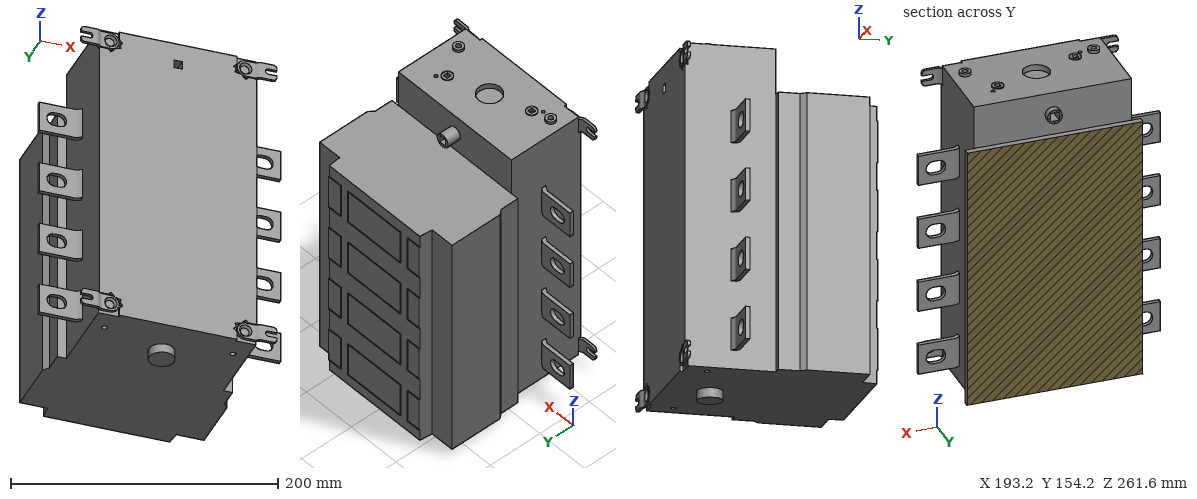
import math

import cadquery as cq

body_width = 126.0
body_height = 251.7
body_front_y = 2.1
body_rear_y = 72.3
body_mid_z = body_height / 2

module_height = 216.2
module_base_half_width = 70.2
module_half_width = 73.8
module_flare_start_y = 89.2
module_flare_end_y = 93.7
module_shoulder_y = 142.1
ridge_base_half_width = 51.6
ridge_top_half_width = 50.5
ridge_rear_y = 153.5
rear_limit_y = 154.17

pole_count = 4
pole_pitch = 53.9
first_pole_z = 27.0
pad_height = 32.3
pad_center_half_width = 29.3
pad_side_inner_x = 37.1

terminal_reach = 193.25 / 2
terminal_width = 25.0
terminal_thickness = 3.5
terminal_front_y = 40.3
terminal_bend_x = 67.3
terminal_root_x = 62.0
terminal_drop = 3.3
terminal_bend_radius = 3.0
terminal_slot_length = 15.5
terminal_slot_width = 11.4
terminal_slot_inset = 13.9

foot_reach = 78.4
foot_width = 13.4
foot_thickness = 2.3
foot_outer_bend_x = 65.0
foot_inner_bend_x = 61.4
foot_bend_radius = 1.4
foot_screw_x = 54.0
foot_screw_z = 242.4
foot_slot_width = 4.6
foot_slot_depth = 9.2
foot_tip_radius = 3.0
foot_end_flat = 0.1
countersink_radius = 4.9
countersink_floor_radius = 3.5

recess_inner_x = 47.1
recess_clearance = 0.8
recess_radius = 6.6
recess_tip_radius = 9.5
recess_tip_angles = (0, -30, -90)
recess_tip_half_width = 2.8

shaft_y = 37.3
socket_radius = 10.6
socket_depth = 4.8
stub_radius = 10.0
stub_length = 7.4
spindle_radius = 6.1
spindle_length = 12.4
spindle_z = 233.6
square_hole_size = 6.5

bushing_x = 51.4
bushing_y = 22.1
bushing_radius = 4.5
bushing_height = 2.5
bushing_bore_radius = 2.2
screw_offset = (35.0, 10.9)
screw_radius = 4.7
screw_height = 0.8
screw_square_size = 4.0
screw_square_depth = 3.0
pin_hole_offset = (41.0, 17.0)
pin_hole_radius = 1.4
pin_hole_depth = 3.0


def box(x_min, x_max, y_min, y_max, z_min, z_max):
    """Axis-aligned box between two opposite corners."""
    size = (x_max - x_min, y_max - y_min, z_max - z_min)
    return cq.Workplane("XY").box(*size, centered=False).translate((x_min, y_min, z_min))


def cylinder_z(x, y, z, radius, height):
    """Cylinder standing on height z."""
    return cq.Workplane("XY").center(x, y).circle(radius).extrude(height).translate((0, 0, z))


def both_sides(shape):
    """The shape together with its mirror image across x = 0."""
    return shape.union(shape.mirror("YZ"))


def all_corners(shape):
    """The shape repeated at the four corners of the front face."""
    lower = shape.mirror("XY", (0, 0, body_mid_z))
    return both_sides(shape).union(both_sides(lower))


def bent_strap(outer_x, bend_x, inner_bend_x, end_x, front_y, rise, thickness, width, radius):
    """Strap on the +X side, centred on z = 0, that shifts by rise in Y between its bends.

    The radius is that of the inside of each bend.
    """
    slope_angle = math.atan2(rise, bend_x - inner_bend_x)
    miter = thickness * math.tan(slope_angle / 2)
    back_y = front_y + thickness
    front_bends = [(bend_x, front_y), (inner_bend_x, front_y + rise)]
    back_bends = [(inner_bend_x + miter, back_y + rise), (bend_x + miter, back_y)]
    outline = [(outer_x, front_y), *front_bends, (end_x, front_y + rise)]
    outline += [(end_x, back_y + rise), *back_bends, (outer_x, back_y)]
    strap = cq.Workplane("XY").polyline(outline).close().extrude(width / 2, both=True)
    inside_bends = [front_bends[1], back_bends[1]]
    outside_bends = [front_bends[0], back_bends[0]]
    if rise < 0:
        inside_bends, outside_bends = outside_bends, inside_bends
    for bends, bend_radius in ((inside_bends, radius), (outside_bends, radius + thickness)):
        for x, y in bends:
            corner = cq.selectors.NearestToPointSelector((x, y, 0))
            strap = strap.edges("|Z").edges(corner).fillet(bend_radius)
    return strap


def pole_heights():
    return [first_pole_z + index * pole_pitch for index in range(pole_count)]


def make_rear_module():
    half_outline = [
        (module_base_half_width, body_rear_y),
        (module_base_half_width, module_flare_start_y),
        (module_half_width, module_flare_end_y),
        (module_half_width, module_shoulder_y),
        (ridge_base_half_width, module_shoulder_y),
        (ridge_top_half_width, ridge_rear_y),
    ]
    mirrored = [(-x, y) for x, y in reversed(half_outline)]
    module = cq.Workplane("XY").polyline(half_outline + mirrored).close().extrude(module_height)
    for z in pole_heights():
        z_min = z - pad_height / 2
        z_max = z + pad_height / 2
        center_pad = box(
            -pad_center_half_width, pad_center_half_width, ridge_rear_y, rear_limit_y, z_min, z_max
        )
        side_pad = box(pad_side_inner_x, ridge_top_half_width, ridge_rear_y, rear_limit_y, z_min, z_max)
        module = module.union(center_pad).union(both_sides(side_pad))
    return module


def make_terminal():
    strap = bent_strap(
        terminal_reach, terminal_bend_x, terminal_root_x, terminal_root_x - terminal_thickness,
        terminal_front_y, -terminal_drop, terminal_thickness, terminal_width, terminal_bend_radius,
    )
    slot = (
        cq.Workplane("XZ")
        .center(terminal_reach - terminal_slot_inset, 0)
        .slot2D(terminal_slot_length, terminal_slot_width)
        .extrude(-body_rear_y)
    )
    return strap.cut(slot)


def make_foot():
    """Upper foot on the +X side with an open slot and a round, countersunk inner end."""
    screw_end_radius = foot_width / 2 - foot_end_flat / 2
    foot = bent_strap(
        foot_reach, foot_outer_bend_x, foot_inner_bend_x, foot_screw_x - foot_width / 2,
        0, body_front_y, foot_thickness, foot_width, foot_bend_radius,
    )
    foot = foot.edges("|Y").edges("<X").fillet(screw_end_radius)
    slot_end_x = foot_reach - foot_slot_depth + foot_slot_width / 2
    slot = (
        cq.Workplane("XZ")
        .center(slot_end_x + foot_slot_depth, 0)
        .slot2D(2 * foot_slot_depth + foot_slot_width, foot_slot_width)
        .extrude(-foot_thickness)
    )
    foot = foot.edges("|Y").edges(">X").fillet(foot_tip_radius).cut(slot)
    countersink = (
        cq.Workplane("XZ", origin=(foot_screw_x, body_front_y, 0))
        .circle(countersink_radius)
        .workplane(offset=-foot_thickness)
        .circle(countersink_floor_radius)
        .loft()
    )
    return foot.cut(countersink).translate((0, 0, foot_screw_z))


def make_foot_recess():
    """Recess under the upper foot on the +X side, with pointed reliefs around the screw."""
    y_min = body_front_y
    y_max = body_front_y + foot_thickness
    wall_x = body_width / 2
    foot_bottom_z = foot_screw_z - foot_width / 2
    recess = box(recess_inner_x, wall_x, y_min, y_max, foot_screw_z, body_height)
    recess = recess.union(
        box(foot_screw_x, wall_x, y_min, y_max, foot_bottom_z - recess_clearance, foot_screw_z)
    )
    face = cq.Workplane("XZ", origin=(foot_screw_x, y_min, foot_screw_z))
    recess = recess.union(face.circle(recess_radius).extrude(-foot_thickness))
    tip_base = recess_tip_radius - recess_tip_half_width
    tip_outline = [
        (0, -recess_tip_half_width),
        (tip_base, -recess_tip_half_width),
        (recess_tip_radius, 0),
        (tip_base, recess_tip_half_width),
        (0, recess_tip_half_width),
    ]
    tip = face.polyline(tip_outline).close().extrude(-foot_thickness)
    axis_start = (foot_screw_x, 0, foot_screw_z)
    axis_end = (foot_screw_x, 1, foot_screw_z)
    for angle in recess_tip_angles:
        recess = recess.union(tip.rotate(axis_start, axis_end, 180 + angle))
    return recess


def add_shafts(part):
    stub = cylinder_z(0, shaft_y, -stub_length, stub_radius, stub_length)
    socket = cylinder_z(0, shaft_y, body_height - socket_depth, socket_radius, socket_depth)
    spindle = (
        cq.Workplane("XZ", origin=(0, body_rear_y, spindle_z))
        .circle(spindle_radius)
        .extrude(-spindle_length)
    )
    half_square = square_hole_size / 2
    square_hole = box(
        -half_square, half_square,
        body_front_y, body_rear_y + spindle_length,
        spindle_z - half_square, spindle_z + half_square,
    )
    return part.union(stub).union(spindle).cut(socket).cut(square_hole)


def add_top_hardware(part):
    for side in (-1, 1):
        bushing = cylinder_z(side * bushing_x, bushing_y, body_height, bushing_radius, bushing_height)
        bore = cylinder_z(
            side * bushing_x, bushing_y, 0, bushing_bore_radius, body_height + bushing_height
        )
        part = part.union(bushing).cut(bore)

        screw_x = side * screw_offset[0]
        screw_y = shaft_y + side * screw_offset[1]
        screw = cylinder_z(screw_x, screw_y, body_height, screw_radius, screw_height)
        half_square = screw_square_size / 2
        square_socket = box(
            screw_x - half_square, screw_x + half_square,
            screw_y - half_square, screw_y + half_square,
            body_height + screw_height - screw_square_depth, body_height + screw_height,
        )
        pin_hole = cylinder_z(
            side * pin_hole_offset[0], shaft_y + side * pin_hole_offset[1],
            body_height - pin_hole_depth, pin_hole_radius, pin_hole_depth,
        )
        part = part.union(screw).cut(square_socket).cut(pin_hole)
    return part


half_body = body_width / 2
part = box(-half_body, half_body, body_front_y, body_rear_y, 0, body_height)
part = part.union(make_rear_module())
terminal_pair = both_sides(make_terminal())
for pole_z in pole_heights():
    part = part.union(terminal_pair.translate((0, 0, pole_z)))
part = part.cut(all_corners(make_foot_recess()))
part = part.union(all_corners(make_foot()))
part = add_shafts(part)
result = add_top_hardware(part)